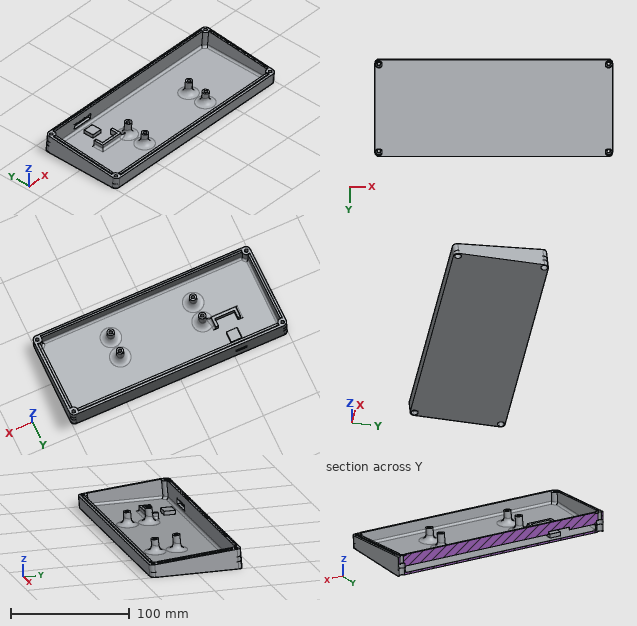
import math

import cadquery as cq

TILT = 5.0
WIDTH = 200.5
TOTAL_DEPTH = 82.42
TOTAL_HEIGHT = 18.84
CORNER_RADIUS = 4.0
FLOOR = 1.5
FLOOR_FILLET = 2.0

WALL = 4.0
RIM = 2.1
LIP_HEIGHT = 1.0

BOSS_RADIUS = 4.0
SCREW_DIAMETER = 2.95
HEAD_DIAMETER = 5.5
HEAD_SEAT = 7.0
ACCESS_DIAMETER = 5.6
ACCESS_START = 11.4
SCREW_INSET = 3.5
FRONT_SCREW_INSET = 3.9

STANDOFF_DIAMETER = 6.2
STANDOFF_FLARE = 6.0
STANDOFF_HOLE_DIAMETER = 2.95
STANDOFF_HOLE_DEPTH = 8.0
STANDOFF_SPACING_X = 76.2
STANDOFF_SPACING_SLOPE = 19.05
STANDOFF_FRONT = 24.1

BOARD_X = -57.0
BOARD_WIDTH = 18.0
BLOCK_SIZE = 10.0
BLOCK_TOP = 5.0
BLOCK_FRONT = 20.25
STOP_WALL = 2.5
STOP_LENGTH = 9.7
STOP_TOP = 6.5
STOP_FRONT = 3.3
STOP_FILLET = 2.0
PORT_WIDTH = 10.0
PORT_HEIGHT = 2.0
PORT_DROP = 9.9
PORT_SKIN = 1.5
PLUG_POCKET_WIDTH = 20.0
PLUG_POCKET_HEIGHT = 5.0

REACH = 2 * WIDTH
PICK_MARGIN = 0.1

SIN = math.sin(math.radians(TILT))
COS = math.cos(math.radians(TILT))

BACK_WALL = (TOTAL_HEIGHT + RIM * SIN) / COS - LIP_HEIGHT
SLOPE_DEPTH = (TOTAL_DEPTH - BACK_WALL * SIN) / COS

RIM_PLANE = cq.Plane(
    origin=(
        0,
        TOTAL_DEPTH / 2 - BACK_WALL * SIN - SLOPE_DEPTH * COS,
        BACK_WALL * COS - SLOPE_DEPTH * SIN,
    ),
    xDir=(1, 0, 0),
    normal=(0, -SIN, COS),
)

SCREW_X = WIDTH / 2 - SCREW_INSET
SCREW_POINTS = [
    (x, slope) for x in (-SCREW_X, SCREW_X) for slope in (FRONT_SCREW_INSET, SLOPE_DEPTH - SCREW_INSET)
]
STANDOFF_POINTS = [
    (x, slope)
    for x in (-STANDOFF_SPACING_X / 2, STANDOFF_SPACING_X / 2)
    for slope in (STANDOFF_FRONT, STANDOFF_FRONT + STANDOFF_SPACING_SLOPE)
]


def rim_work(offset=0.0):
    """Workplane parallel to the rim, raised by offset."""
    return cq.Workplane(RIM_PLANE).workplane(offset=offset)


def rim_cylinders(points, diameter, top, length):
    """Cylinders square to the rim that run down from top."""
    return rim_work(top).pushPoints(points).circle(diameter / 2).extrude(-length)


def rim_box(inset, bottom, top):
    """Box square to the rim, inset equally from the four outer sides."""
    width = WIDTH - 2 * inset
    depth = SLOPE_DEPTH - 2 * inset
    return rim_work(bottom).center(0, SLOPE_DEPTH / 2).rect(width, depth).extrude(top - bottom)


def above(z):
    """Block that fills everything above the height z."""
    return cq.Workplane("XY", origin=(0, 0, z)).rect(REACH, REACH).extrude(REACH)


def make_shell():
    """Open tray with rounded outer corners, inner corner bosses and the raised lip."""
    outer = rim_box(0, -REACH, 0)
    outer = outer.edges(cq.selectors.ParallelDirSelector(RIM_PLANE.zDir)).fillet(CORNER_RADIUS)
    outer = outer.intersect(above(0))
    bosses = rim_cylinders(SCREW_POINTS, 2 * BOSS_RADIUS, REACH, 2 * REACH)
    lip = rim_box(RIM, -LIP_HEIGHT, LIP_HEIGHT).cut(bosses.intersect(rim_box(0, 0, REACH)))
    cavity = rim_box(WALL, -REACH, REACH).cut(bosses).intersect(above(FLOOR))
    cavity = cavity.faces("<Z").edges().fillet(FLOOR_FILLET)
    return outer.union(lip).cut(cavity)


def screw_bores():
    """Stepped holes through the corner bosses, widening towards the bottom."""
    shafts = rim_cylinders(SCREW_POINTS, SCREW_DIAMETER, REACH, 2 * REACH)
    heads = rim_cylinders(SCREW_POINTS, HEAD_DIAMETER, -HEAD_SEAT, REACH)
    access = rim_cylinders(SCREW_POINTS, ACCESS_DIAMETER, -ACCESS_START, REACH)
    return shafts.union(heads).union(access)


def standoff(point):
    """Post square to the rim, flared where it meets a pad sunk in the floor."""
    post = rim_cylinders([point], STANDOFF_DIAMETER, 0, REACH).intersect(above(FLOOR / 2))
    pad_size = 2 * (STANDOFF_DIAMETER + STANDOFF_FLARE)
    center = post.val().Center()
    pad = cq.Workplane("XY").center(center.x, center.y).rect(pad_size, pad_size).extrude(FLOOR)
    blended = pad.union(post)
    foot = blended.edges(
        cq.selectors.BoxSelector(
            (center.x - STANDOFF_DIAMETER, center.y - STANDOFF_DIAMETER, FLOOR - PICK_MARGIN),
            (center.x + STANDOFF_DIAMETER, center.y + STANDOFF_DIAMETER, FLOOR + PICK_MARGIN),
        )
    )
    return foot.fillet(STANDOFF_FLARE)


def board_prism(front, width, length, bottom, top):
    """Upright block on the board's centre line, with its front face at Y = front."""
    block = cq.Workplane("XY", origin=(BOARD_X, front + length / 2, bottom))
    return block.rect(width, length).extrude(top - bottom)


def add_board_stop(body):
    """Adds the stop as a solid block, fillets its outer foot, then clears the board's space."""
    width = BOARD_WIDTH + 2 * STOP_WALL
    body = body.union(board_prism(STOP_FRONT, width, STOP_LENGTH, FLOOR / 2, STOP_TOP))
    feet = cq.selectors.BoxSelector(
        (BOARD_X - width / 2 - PICK_MARGIN, STOP_FRONT - PICK_MARGIN, FLOOR - PICK_MARGIN),
        (BOARD_X + width / 2 + PICK_MARGIN, STOP_FRONT + STOP_LENGTH - PICK_MARGIN, FLOOR + PICK_MARGIN),
    )
    body = body.edges(feet).fillet(STOP_FILLET)
    return body.cut(board_prism(STOP_FRONT + STOP_WALL, BOARD_WIDTH, STOP_LENGTH, FLOOR, STOP_TOP))


def cable_port():
    """Opening through the back wall, widened on the inside for the plug."""
    plane = cq.Plane(
        origin=RIM_PLANE.toWorldCoords((BOARD_X, SLOPE_DEPTH, -PORT_DROP)),
        xDir=(1, 0, 0),
        normal=-RIM_PLANE.yDir,
    )
    opening = cq.Workplane(plane).rect(PORT_WIDTH, PORT_HEIGHT).extrude(WALL)
    pocket = cq.Workplane(plane).workplane(offset=PORT_SKIN).rect(PLUG_POCKET_WIDTH, PLUG_POCKET_HEIGHT)
    return opening.union(pocket.extrude(WALL - PORT_SKIN))


def board_block():
    """Square block that supports the board near the port."""
    return board_prism(BLOCK_FRONT, BLOCK_SIZE, BLOCK_SIZE, FLOOR / 2, BLOCK_TOP)


result = make_shell()
for standoff_point in STANDOFF_POINTS:
    result = result.union(standoff(standoff_point))
result = add_board_stop(result).union(board_block())
result = result.cut(rim_cylinders(STANDOFF_POINTS, STANDOFF_HOLE_DIAMETER, 0, STANDOFF_HOLE_DEPTH))
result = result.cut(screw_bores()).cut(cable_port())